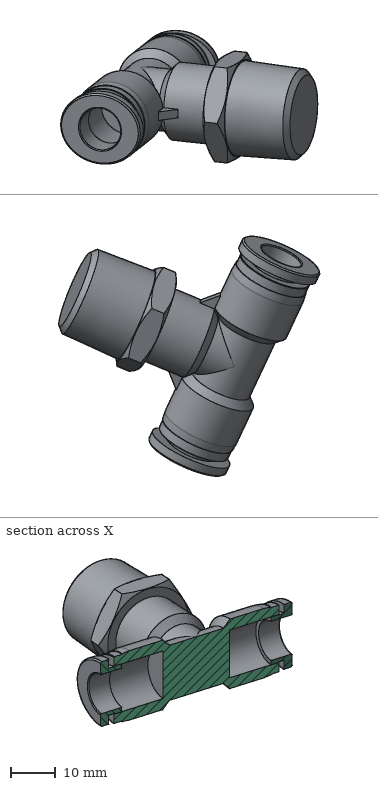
import cadquery as cq
import math


run_radius = 7.0
socket_radius = 17.6 / 2
socket_rim_radius = 17.2 / 2
cap_radius = 16.9 / 2
cap_edge_chamfer = 0.15
run_shoulder_start = 7.3
socket_start = run_shoulder_start + (socket_radius - run_radius)
socket_taper_start = 18.3
cap_start = 20.25
cap_end = 22.5
socket_floor = socket_start

branch_radius = socket_radius
branch_shoulder_start = run_radius
branch_shoulder_end = branch_shoulder_start + (branch_radius - run_radius)
branch_end = 19.0

rib_leg = 3.45
rib_thickness = 2.0

collet_end = 26.1
flange_thickness = 2.3
flange_half_width = 9.5
flange_half_height = 8.2
flange_chamfer = 0.35
neck_radius = 11.9 / 2
tube_bore_radius = 9.75 / 2
tube_bore_chamfer = 0.25
collet_inner_end = cap_start

hex_across_flats = 22.23
hex_thickness = 5.1
hex_end = branch_end + hex_thickness
hex_corner_radius = hex_across_flats / 2 / math.cos(math.pi / 6)
hex_chamfer_angle = math.radians(30)
hex_face_radius = 11.0
stud_end = 39.0
thread_base_radius = 10.7
thread_slope = 1 / 32
thread_edge_chamfer = 1.25


def revolve_about_y(points):
    """Revolve a closed (radius, y) outline about the run axis."""
    return cq.Workplane("XY").polyline(points).close().revolve(360, (0, 0, 0), (0, 1, 0))


def revolve_about_x(points):
    """Revolve a closed (x, radius) outline about the branch axis."""
    return cq.Workplane("XY").polyline(points).close().revolve(360, (0, 0, 0), (1, 0, 0))


def run_solid():
    """Solid run of the tee: slim middle, a shoulder, socket and cap toward each end."""
    half_profile = [
        (run_radius, run_shoulder_start),
        (socket_radius, socket_start),
        (socket_radius, socket_taper_start),
        (socket_rim_radius, cap_start),
        (cap_radius, cap_start),
        (cap_radius, cap_end - cap_edge_chamfer),
        (cap_radius - cap_edge_chamfer, cap_end),
    ]
    opposite_half = [(radius, -y) for radius, y in reversed(half_profile)]
    return revolve_about_y([(0, -cap_end)] + opposite_half + half_profile + [(0, cap_end)])


def branch():
    """Solid branch: as slim as the run at the crossing, then a shoulder up to full size."""
    return revolve_about_x([
        (0, 0),
        (0, run_radius),
        (branch_shoulder_start, run_radius),
        (branch_shoulder_end, branch_radius),
        (branch_end, branch_radius),
        (branch_end, 0),
    ])


def corner_rib(side):
    """Triangular web in the corner between the branch and one socket (side is +1 or -1)."""
    outer = socket_radius + rib_leg
    return (
        cq.Workplane("XY")
        .polyline([
            (run_radius, side * run_radius),
            (socket_radius, side * outer),
            (outer, side * branch_radius),
        ])
        .close()
        .extrude(rib_thickness / 2, both=True)
    )


def socket_bore(side):
    """Blind bore in one end of the run that takes the collet."""
    return revolve_about_y([
        (0, side * socket_floor),
        (neck_radius, side * socket_floor),
        (neck_radius, side * cap_end),
        (0, side * cap_end),
    ])


def make_housing():
    body = run_solid().union(branch())
    for side in (1, -1):
        body = body.union(corner_rib(side))
    for side in (1, -1):
        body = body.cut(socket_bore(side))
    return body


def make_collet(side):
    """Release collet at one end of the run: an oval flange on a round sleeve, bored through."""
    flange_base = collet_end - flange_thickness
    flange = (
        cq.Workplane("XY")
        .workplane(offset=flange_base)
        .ellipse(flange_half_width, flange_half_height)
        .extrude(flange_thickness)
        .faces(">Z")
        .chamfer(flange_chamfer)
    )
    sleeve = (
        cq.Workplane("XY")
        .workplane(offset=collet_inner_end)
        .circle(neck_radius)
        .extrude(flange_base - collet_inner_end)
    )
    bore = (
        cq.Workplane("XY")
        .workplane(offset=collet_inner_end)
        .circle(tube_bore_radius)
        .extrude(collet_end - collet_inner_end)
    )
    mouth = cq.Workplane(cq.Solid.makeCone(
        tube_bore_radius,
        tube_bore_radius + tube_bore_chamfer,
        tube_bore_chamfer,
        pnt=cq.Vector(0, 0, collet_end - tube_bore_chamfer),
    ))
    collet = flange.union(sleeve).cut(bore).cut(mouth)
    return collet.rotate((0, 0, 0), (1, 0, 0), -90 * side)


def make_stud():
    """Hexagon with chamfered corners and a tapered thread blank behind it."""
    corner_chamfer = (hex_corner_radius - hex_face_radius) * math.tan(hex_chamfer_angle)
    hexagon = (
        cq.Workplane("YZ")
        .workplane(offset=branch_end)
        .polygon(6, 2 * hex_corner_radius)
        .extrude(hex_thickness)
    )
    chamfer_envelope = revolve_about_x([
        (branch_end, 0),
        (branch_end, hex_face_radius),
        (branch_end + corner_chamfer, hex_corner_radius),
        (hex_end - corner_chamfer, hex_corner_radius),
        (hex_end, hex_face_radius),
        (hex_end, 0),
    ])
    thread_end_radius = thread_base_radius - thread_slope * (stud_end - hex_end)
    thread = revolve_about_x([
        (hex_end, 0),
        (hex_end, thread_base_radius),
        (stud_end, thread_end_radius),
        (stud_end, 0),
    ])
    thread = thread.faces(">X").edges().chamfer(thread_edge_chamfer)
    return hexagon.intersect(chamfer_envelope).union(thread)


housing = make_housing()
collets = [make_collet(side) for side in (1, -1)]
stud = make_stud()

result = cq.Compound.makeCompound([
    housing.val(),
    *[collet.val() for collet in collets],
    stud.val(),
])